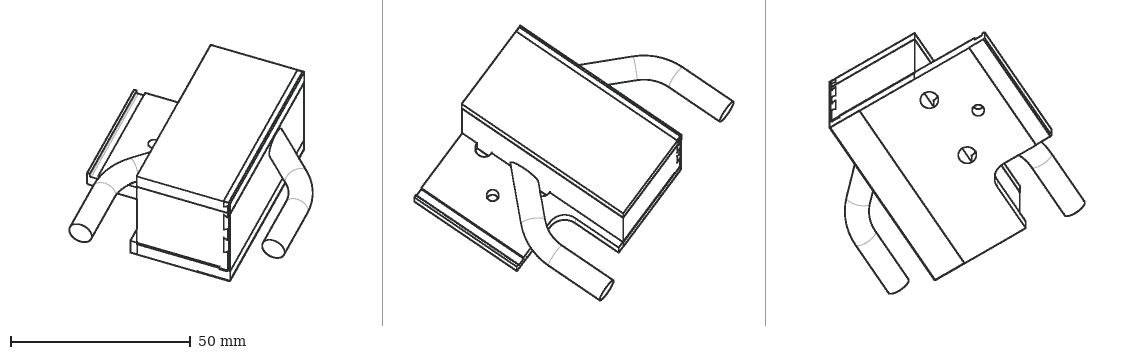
import cadquery as cq
import math

block_width = 28.1
block_length = 55.1
block_top = 31.2
skin = 0.15
band_height = 4.15
band_step = 0.1
foot_inset = 0.105
foot_setback = 0.2

flange_reach = 22.9
base_top = 4.7
block_bottom = 4.15
base_length = block_length - 2 * skin
block_left = flange_reach
block_right = block_left + block_width
base_right = block_right - band_step
foot_left = block_left + foot_setback

lip_width = 0.8
groove_right = 3.3
groove_depth = 1.1
groove_fillet = 0.35
bottom_step = 0.3
left_step_end = 5.1
right_step_start = 41.1
left_chamfer = 0.4
right_chamfer = 0.3

wall_outer = block_right - 0.55
wall_inner = wall_outer - 0.3
relief_left = 47.7
relief_depth = 1.1
relief_chamfer = 0.3
rib_reach = 1.25
rib_tip_height = 5.95
rib_taper = 0.7
rib_pitch = 9.1
rib_count = 3
lowest_rib_z = 13.8

notch_right = 21.0
notch_back = 20.0
notch_radius = 5.0
small_hole_diameter = 3.3
small_hole_x = 13.1
hole_row_y = 37.5
large_hole_diameter = 5.0
large_hole_offset = 9.9

cable_diameter = 6.8
cable_offset = 28.9
cable_bend_start = 12.6
cable_bend_radius = 15.2
cable_bend_angle = 45.0
cable_run = 20.8
left_cable_z = 7.6
left_cable_end = -4.9
right_cable_z = 23.3
right_cable_end = -4.8
block_middle = (block_left + block_right) / 2


def box(x_min, x_max, y_min, y_max, z_min, z_max):
    size = (x_max - x_min, y_max - y_min, z_max - z_min)
    return cq.Workplane("XY").box(*size, centered=False).translate((x_min, y_min, z_min))


def extrude_along_y(points, y_min, y_max):
    profile = cq.Workplane("XZ", origin=(0, y_min, 0)).polyline(points).close()
    return profile.extrude(y_min - y_max)


def make_rib(z_middle):
    tip = rib_tip_height / 2
    root = tip - rib_taper
    rib_tip_x = wall_inner - rib_reach
    points = [
        (wall_outer, z_middle - root),
        (wall_inner, z_middle - root),
        (rib_tip_x, z_middle - tip),
        (rib_tip_x, z_middle + tip),
        (wall_inner, z_middle + root),
        (wall_outer, z_middle + root),
    ]
    return extrude_along_y(points, skin, skin + base_length)


def make_large_holes():
    y_places = [hole_row_y - large_hole_offset, hole_row_y + large_hole_offset]
    points = [(block_left, y) for y in y_places]
    return cq.Workplane("XY").pushPoints(points).circle(large_hole_diameter / 2).extrude(base_top)


def make_base():
    relief_floor = base_top - relief_depth
    points = [
        (left_chamfer, bottom_step),
        (left_step_end, bottom_step),
        (left_step_end, 0),
        (right_step_start, 0),
        (right_step_start, bottom_step),
        (base_right, bottom_step),
        (base_right, block_bottom),
        (wall_outer, block_bottom),
        (wall_outer, block_top),
        (wall_inner, block_top),
        (wall_inner, relief_floor + relief_chamfer),
        (wall_inner - relief_chamfer, relief_floor),
        (relief_left, relief_floor),
        (relief_left, base_top),
        (0, base_top),
        (0, bottom_step + left_chamfer),
    ]
    base = extrude_along_y(points, skin, skin + base_length)
    for index in range(rib_count):
        base = base.union(make_rib(lowest_rib_z + index * rib_pitch))
    base = base.intersect(box(0, block_right, 0, block_length, 0, block_top))

    groove = box(lip_width, groove_right, 0, block_length, base_top - groove_depth, block_top)
    base = base.cut(groove.edges("|Y and <X and <Z").fillet(groove_fillet))

    notch = box(0, notch_right, 0, notch_back, 0, block_top)
    notch = notch.edges("|Z and >X and >Y").fillet(notch_radius)
    base = base.cut(notch)

    small_hole = cq.Workplane("XY").center(small_hole_x, hole_row_y).circle(small_hole_diameter / 2)
    base = base.cut(small_hole.extrude(base_top))
    return base.cut(make_large_holes())


def make_block(base):
    """Block cast around the base: it fills the gaps in it and covers its ends."""
    band = box(block_left, block_right, 0, block_length, block_top - band_height, block_top)
    body_left = block_left + band_step
    body_back = block_length - band_step
    body = box(body_left, base_right, band_step, body_back, block_bottom, block_top)
    foot = box(foot_left, base_right, foot_inset, block_length - foot_inset, 0, base_top)
    foot = foot.edges("|Y and >X and <Z").chamfer(right_chamfer)
    hole_fill = make_large_holes().intersect(box(body_left, block_right, 0, block_length, 0, base_top))
    return body.union(band).union(foot).union(hole_fill).cut(base)


def make_cable(side, z, end_y):
    """Straight end, 45 degree bend and a slanting run, cut off at the block; side -1 is left."""
    start_x = block_middle + side * cable_offset

    def bend_point(degrees):
        angle = math.radians(degrees)
        x = start_x - side * cable_bend_radius * (1 - math.cos(angle))
        return x, cable_bend_start + cable_bend_radius * math.sin(angle)

    bend_end = bend_point(cable_bend_angle)
    run_angle = math.radians(cable_bend_angle)
    run_end = (
        bend_end[0] - side * cable_run * math.sin(run_angle),
        bend_end[1] + cable_run * math.cos(run_angle),
    )
    path = (
        cq.Workplane("XY", origin=(0, 0, z))
        .moveTo(start_x, end_y)
        .lineTo(start_x, cable_bend_start)
        .threePointArc(bend_point(cable_bend_angle / 2), bend_end)
        .lineTo(*run_end)
    )
    section = cq.Workplane("XZ", origin=(start_x, end_y, z)).circle(cable_diameter / 2)
    return section.sweep(path).cut(box(block_left, block_right, 0, block_length, 0, block_top))


left_cable = make_cable(-1, left_cable_z, left_cable_end)
right_cable = make_cable(1, right_cable_z, right_cable_end)
base = make_base().cut(left_cable)
block = make_block(base)

result = cq.Compound.makeCompound([base.val(), block.val(), left_cable.val(), right_cable.val()])